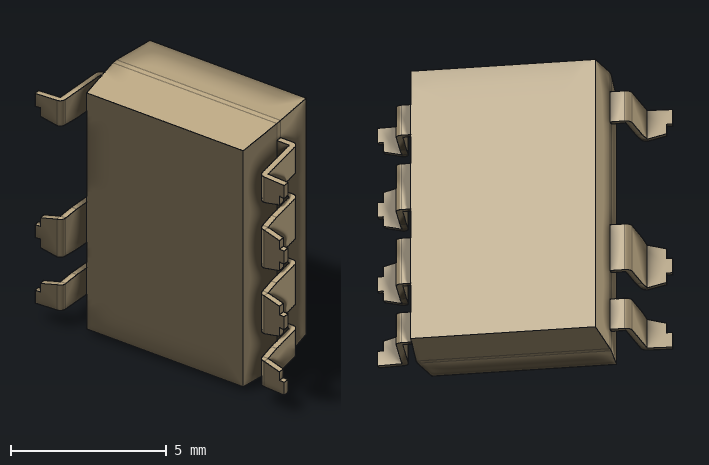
import cadquery as cq
import math

HOUSING_WIDTH = 6.35
HOUSING_HEIGHT = 9.44
HOUSING_DEPTH = 3.67
DRAFT_ANGLE = 5.0

STRIP_THICKNESS = 0.21
LEAD_WIDTH = 1.56
LEAD_PITCH = 2.54
LEAD_SPAN = 9.65
LEADS_PER_SIDE = 4
MISSING_LEFT_ROW = 1

SHOULDER_INNER_X = 3.65
LEG_SPLAY = 5.0
FOOT_TILT = 4.0
FOOT_DROP = 0.31

LEG_TAPER_LENGTH = 0.57
FOOT_START_WIDTH = 1.47
FOOT_END_WIDTH = 1.16
TIP_WIDTH = 0.5
TIP_LENGTH = 0.19

half_strip = STRIP_THICKNESS / 2
face_x = HOUSING_WIDTH / 2
housing_front_y = -HOUSING_DEPTH / 2
splay = math.radians(LEG_SPLAY)
tilt = math.radians(FOOT_TILT)

leg_x_at_shoulder = SHOULDER_INNER_X + STRIP_THICKNESS / math.cos(splay)
foot_tip_y = housing_front_y - FOOT_DROP + STRIP_THICKNESS * math.cos(tilt)
tip_below_shoulder = -half_strip - foot_tip_y
foot_run = (
    LEAD_SPAN / 2 - leg_x_at_shoulder - tip_below_shoulder * math.tan(splay)
) / (1 - math.tan(tilt) * math.tan(splay))
foot_corner_x = LEAD_SPAN / 2 - foot_run
foot_corner_y = foot_tip_y + foot_run * math.tan(tilt)
foot_length = foot_run / math.cos(tilt)


def make_housing():
    """Band with a drafted block on its back and on its front."""
    block_depth = (HOUSING_DEPTH - STRIP_THICKNESS) / 2
    band = (
        cq.Workplane("XZ", origin=(0, half_strip, 0))
        .rect(HOUSING_WIDTH, HOUSING_HEIGHT)
        .extrude(STRIP_THICKNESS)
    )
    front_block = (
        cq.Workplane("XZ", origin=(0, -half_strip, 0))
        .rect(HOUSING_WIDTH, HOUSING_HEIGHT)
        .extrude(block_depth, taper=DRAFT_ANGLE)
    )
    back_block = front_block.mirror("XZ")
    return band.union(front_block).union(back_block)


def around(corner, degrees):
    """Point one strip thickness from a bend corner, at an angle from +X."""
    angle = math.radians(degrees)
    return (
        corner[0] + STRIP_THICKNESS * math.cos(angle),
        corner[1] + STRIP_THICKNESS * math.sin(angle),
    )


def make_shoulder_and_leg():
    """Strip from the housing face through both bends, narrowed towards the foot."""
    shoulder_corner = (SHOULDER_INNER_X, -half_strip)
    foot_corner = (foot_corner_x, foot_corner_y)
    leg_out = LEG_SPLAY
    leg_in = 180 + LEG_SPLAY
    foot_down = 270 - FOOT_TILT
    strip = (
        cq.Workplane("XY")
        .moveTo(face_x, -half_strip)
        .lineTo(face_x, half_strip)
        .lineTo(*around(shoulder_corner, 90))
        .threePointArc(around(shoulder_corner, (90 + leg_out) / 2), around(shoulder_corner, leg_out))
        .lineTo(*foot_corner)
        .lineTo(*around(foot_corner, foot_down))
        .threePointArc(around(foot_corner, (foot_down + leg_in) / 2), around(foot_corner, leg_in))
        .lineTo(*shoulder_corner)
        .close()
        .extrude(LEAD_WIDTH / 2, both=True)
    )
    taper_start_y = foot_corner_y + LEG_TAPER_LENGTH
    lowest_y = foot_corner_y - 2 * STRIP_THICKNESS
    half_outline = [
        (half_strip, LEAD_WIDTH / 2),
        (taper_start_y, LEAD_WIDTH / 2),
        (foot_corner_y, FOOT_START_WIDTH / 2),
        (lowest_y, FOOT_START_WIDTH / 2),
    ]
    other_half = [(y, -z) for y, z in reversed(half_outline)]
    outline = cq.Workplane("YZ").polyline(half_outline + other_half).close().extrude(LEAD_SPAN / 2)
    return strip.intersect(outline)


def make_foot():
    """Tapering foot with a narrow tip, drawn in its own tilted plane."""
    foot_plane = cq.Plane(
        origin=(foot_corner_x, foot_corner_y, 0),
        xDir=(math.cos(tilt), -math.sin(tilt), 0),
        normal=(-math.sin(tilt), -math.cos(tilt), 0),
    )
    tip_start = foot_length - TIP_LENGTH
    half_outline = [
        (0, FOOT_START_WIDTH / 2),
        (tip_start, FOOT_END_WIDTH / 2),
        (tip_start, TIP_WIDTH / 2),
        (foot_length, TIP_WIDTH / 2),
    ]
    other_half = [(u, -v) for u, v in reversed(half_outline)]
    return cq.Workplane(foot_plane).polyline(half_outline + other_half).close().extrude(STRIP_THICKNESS)


def make_lead():
    """Full-width lead on the +X side, centred on Z = 0."""
    return make_shoulder_and_leg().union(make_foot())


def make_top_lead():
    """Lead of the top row, cut flush with the upper edge of its tip."""
    trim = (
        cq.Workplane("XY", origin=(0, 0, TIP_WIDTH / 2))
        .rect(2 * LEAD_SPAN, 2 * HOUSING_DEPTH)
        .extrude(LEAD_WIDTH)
    )
    return make_lead().cut(trim)


def make_right_lead(row):
    """Lead of one row on the +X side; the bottom row mirrors the top row."""
    if row == 0:
        lead = make_top_lead()
    elif row == LEADS_PER_SIDE - 1:
        lead = make_top_lead().mirror("XY")
    else:
        lead = make_lead()
    row_z = ((LEADS_PER_SIDE - 1) / 2 - row) * LEAD_PITCH
    return lead.translate((0, 0, row_z))


housing = make_housing()

leads = []
for row in range(LEADS_PER_SIDE):
    right_lead = make_right_lead(row)
    leads.append(right_lead)
    if row != MISSING_LEFT_ROW:
        leads.append(right_lead.mirror("YZ"))

result = cq.Compound.makeCompound([housing.val(), *[lead.val() for lead in leads]])